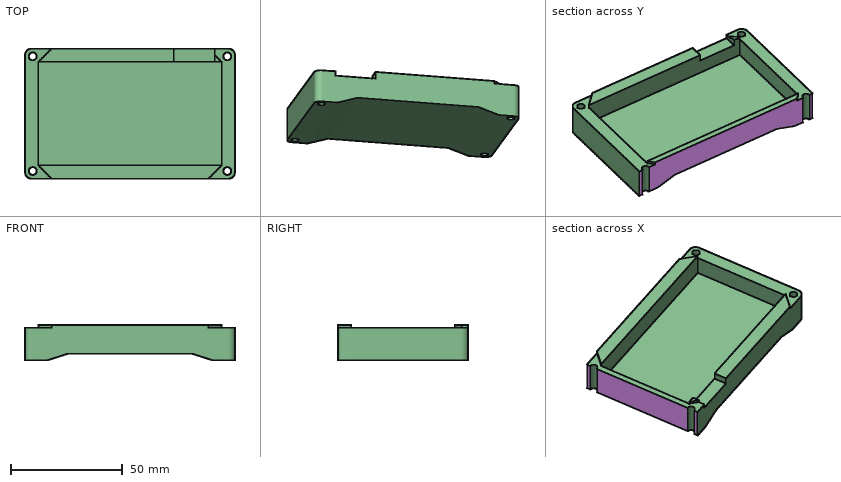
import cadquery as cq

LENGTH = 93.96
WIDTH = 58.24
TOTAL_HEIGHT = 15.9
CORNER_RADIUS = 3.0

STRIP_HEIGHT = 1.2
RIM_HEIGHT = TOTAL_HEIGHT - STRIP_HEIGHT

WALL = 6.0
STRIP_WIDTH = WALL
POCKET_LENGTH = LENGTH - 2 * WALL
POCKET_WIDTH = WIDTH - 2 * WALL
FLOOR_TOP = 5.5

HOLE_DIAMETER = 3.4
HOLE_INSET = 3.5

RELIEF_HEIGHT = 3.0
RELIEF_BOTTOM_LENGTH = 74.0
RELIEF_TOP_LENGTH = 55.4

NOTCH_LEFT = 19.5
NOTCH_RIGHT = 37.8
NOTCH_DEPTH_BELOW_RIM = 2.0
NOTCH_BOTTOM = RIM_HEIGHT - NOTCH_DEPTH_BELOW_RIM


def make_body():
    return (
        cq.Workplane("XY")
        .rect(LENGTH, WIDTH)
        .extrude(RIM_HEIGHT)
        .edges("|Z")
        .fillet(CORNER_RADIUS)
    )


def make_strip(side):
    """Strip on one long wall; side is -1 (front) or +1 (rear). Ends are cut at 45 degrees."""
    outer_y = side * WIDTH / 2
    inner_y = side * (WIDTH / 2 - STRIP_WIDTH)
    inner_x = POCKET_LENGTH / 2
    outer_x = inner_x - STRIP_WIDTH
    return (
        cq.Workplane("XY")
        .workplane(offset=RIM_HEIGHT)
        .polyline([(-outer_x, outer_y), (outer_x, outer_y), (inner_x, inner_y), (-inner_x, inner_y)])
        .close()
        .extrude(STRIP_HEIGHT)
    )


def make_pocket():
    return (
        cq.Workplane("XY")
        .workplane(offset=FLOOR_TOP)
        .rect(POCKET_LENGTH, POCKET_WIDTH)
        .extrude(TOTAL_HEIGHT - FLOOR_TOP)
    )


def make_relief():
    bottom_x = RELIEF_BOTTOM_LENGTH / 2
    top_x = RELIEF_TOP_LENGTH / 2
    return (
        cq.Workplane("XZ")
        .polyline([(-bottom_x, 0), (bottom_x, 0), (top_x, RELIEF_HEIGHT), (-top_x, RELIEF_HEIGHT)])
        .close()
        .extrude(WIDTH / 2, both=True)
    )


def make_notch():
    return (
        cq.Workplane("XY")
        .box(NOTCH_RIGHT - NOTCH_LEFT, WALL, TOTAL_HEIGHT - NOTCH_BOTTOM, centered=False)
        .translate((NOTCH_LEFT, WIDTH / 2 - WALL, NOTCH_BOTTOM))
    )


def make_screw_holes():
    return (
        cq.Workplane("XY")
        .rect(LENGTH - 2 * HOLE_INSET, WIDTH - 2 * HOLE_INSET, forConstruction=True)
        .vertices()
        .circle(HOLE_DIAMETER / 2)
        .extrude(TOTAL_HEIGHT)
    )


body = make_body()
for wall_side in (-1, 1):
    body = body.union(make_strip(wall_side))

result = (
    body.cut(make_pocket())
    .cut(make_relief())
    .cut(make_notch())
    .cut(make_screw_holes())
)